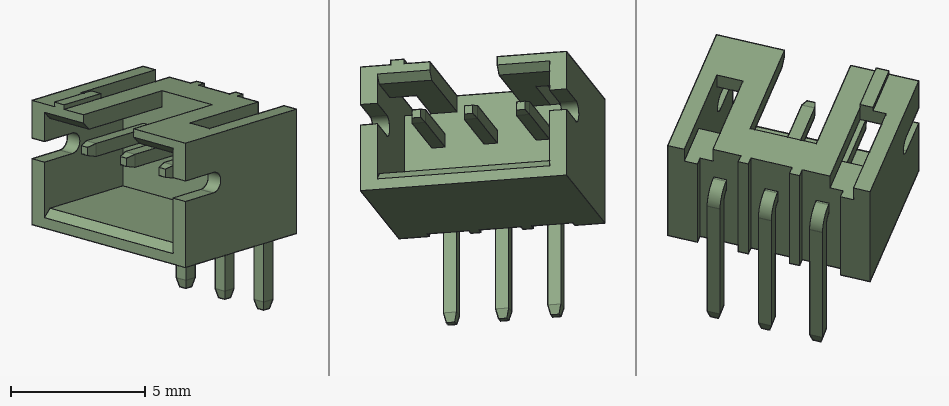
import cadquery as cq
import math


overall_height = 8.4
width = 7.9
depth = 6.0
height = 4.84
wall = 0.65
floor = 0.71
roof = 0.63
cavity_depth = 4.23
lead_in = 0.3

notch_width = 2.58
slot_width = 1.02
slot_front = 1.98
slot_inner_x = width / 2 - wall - slot_width

key_width = 0.5
key_height = 0.18

side_slot_height = 0.8
side_slot_length = 1.91
side_slot_top = height - 1.47

pin_count = 3
pitch = 2.0
pin = 0.5
pin_top = side_slot_top
pin_tip_y = 0.8
tip_length = 0.36
tip_face = 0.32
bend_outer = 0.75
bend_inner = bend_outer - pin
leg_back = depth + pin
leg_length = overall_height - height - key_height

relief_depth = 0.32
relief_width = 2 * (slot_inner_x + key_width)
rib_width = 0.395

tip_taper = math.degrees(math.atan((pin - tip_face) / 2 / tip_length))


def block(x_range, y_range, z_range):
    """Axis-aligned box between pairs of limits."""
    lows, highs = zip(x_range, y_range, z_range)
    sizes = [high - low for low, high in zip(lows, highs)]
    return cq.Workplane("XY").box(*sizes, centered=False).translate(lows)


def extrude_across(outline, total_width):
    """Extrude a closed YZ outline symmetrically about X = 0."""
    return outline.extrude(total_width / 2, both=True)


def cavity():
    """Plug-in space, with its floor and roof flared at the mouth."""
    ceiling = height - roof
    outline = cq.Workplane("YZ").polyline([
        (0, floor - lead_in),
        (lead_in, floor),
        (cavity_depth, floor),
        (cavity_depth, ceiling),
        (lead_in, ceiling),
        (0, ceiling + lead_in),
    ]).close()
    return extrude_across(outline, width - 2 * wall)


def roof_openings():
    """Centre notch open to the front, and two side slots open to the back."""
    roof_z = (height - roof, height)
    openings = block((-notch_width / 2, notch_width / 2), (0, cavity_depth), roof_z)
    slot = block((slot_inner_x, slot_inner_x + slot_width), (slot_front, depth), roof_z)
    return openings.union(slot).union(slot.mirror("YZ"))


def side_slots():
    """Round-ended slots running in from the front through both side walls."""
    radius = side_slot_height / 2
    straight = side_slot_length - radius
    bottom = side_slot_top - side_slot_height
    outline = (
        cq.Workplane("YZ")
        .moveTo(0, bottom)
        .lineTo(straight, bottom)
        .threePointArc((side_slot_length, bottom + radius), (straight, side_slot_top))
        .lineTo(0, side_slot_top)
        .close()
    )
    return extrude_across(outline, width)


def back_relief():
    """Shallow full-height recess behind the pins, less the dividing ribs."""
    back_y = (depth - relief_depth, depth)
    full_z = (0, height)
    relief = block((-relief_width / 2, relief_width / 2), back_y, full_z)
    for gap in range(pin_count - 1):
        x = (gap - (pin_count - 2) / 2) * pitch
        relief = relief.cut(block((x - rib_width / 2, x + rib_width / 2), back_y, full_z))
    return relief


def polarity_key():
    """Raised bar on the left of the roof, beside the side slot's inner edge."""
    return block(
        (-slot_inner_x - key_width, -slot_inner_x),
        (0, slot_front),
        (height, height + key_height),
    )


def bent_pin():
    """Square pin on X = 0: contact forward, leg down, both ends tapered."""
    shank_front = pin_tip_y + tip_length
    shank_bottom = tip_length - leg_length
    pin_bottom = pin_top - pin
    bend_y = leg_back - bend_outer
    bend_z = pin_top - bend_outer
    diagonal = math.sqrt(0.5)
    outline = (
        cq.Workplane("YZ")
        .moveTo(shank_front, pin_top)
        .lineTo(bend_y, pin_top)
        .threePointArc(
            (bend_y + bend_outer * diagonal, bend_z + bend_outer * diagonal),
            (leg_back, bend_z),
        )
        .lineTo(leg_back, shank_bottom)
        .lineTo(depth, shank_bottom)
        .lineTo(depth, bend_z)
        .threePointArc(
            (bend_y + bend_inner * diagonal, bend_z + bend_inner * diagonal),
            (bend_y, pin_bottom),
        )
        .lineTo(shank_front, pin_bottom)
        .close()
    )
    shank = extrude_across(outline, pin)
    contact_tip = (
        cq.Workplane("XZ", origin=(0, shank_front, pin_top - pin / 2))
        .rect(pin, pin)
        .extrude(tip_length, taper=tip_taper)
    )
    leg_tip = (
        cq.Workplane("XY", origin=(0, depth + pin / 2, shank_bottom))
        .rect(pin, pin)
        .extrude(-tip_length, taper=tip_taper)
    )
    return shank.union(contact_tip).union(leg_tip)


housing = block((-width / 2, width / 2), (0, depth), (0, height))
for pocket in (cavity(), roof_openings(), side_slots(), back_relief()):
    housing = housing.cut(pocket)

result = housing.union(polarity_key())
for index in range(pin_count):
    pin_x = (index - (pin_count - 1) / 2) * pitch
    result = result.union(bent_pin().translate((pin_x, 0, 0)))